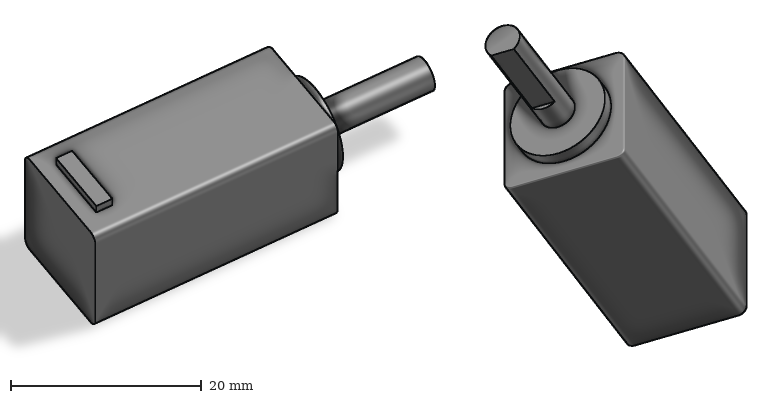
import cadquery as cq

total_length = 45.0

body_width = 14.0
body_length = 30.0
corner_radius = 1.0
front_edge_radius = 0.25

pilot_diameter = 11.0
pilot_thickness = 1.5

shaft_diameter = 4.0
shaft_length = total_length - body_length - pilot_thickness
flat_depth = 0.5
round_length = 3.5

tab_width = 8.0
tab_length = 2.0
tab_height = 1.0
tab_setback = 2.0

pilot_end = body_length + pilot_thickness


def make_body():
    """Square body from Y = 0, centred on the Y axis."""
    body = cq.Workplane("XY").box(body_width, body_length, body_width, centered=(True, False, True))
    return body.edges("|Y").fillet(corner_radius).faces(">Y").edges().fillet(front_edge_radius)


def cylinder_along_y(diameter, start, length):
    """Cylinder on the Y axis, running from start toward +Y."""
    return cq.Workplane("XZ", origin=(0, start, 0)).circle(diameter / 2).extrude(-length)


def make_shaft():
    """Shaft whose outer stretch is cut flat from below."""
    shaft = cylinder_along_y(shaft_diameter, pilot_end, shaft_length)
    flat_cut = (
        cq.Workplane("XY", origin=(0, pilot_end + round_length, -shaft_diameter / 2))
        .box(shaft_diameter, shaft_length - round_length, flat_depth, centered=(True, False, False))
    )
    return shaft.cut(flat_cut)


def make_tab():
    """Rectangular tab standing on the top face."""
    return (
        cq.Workplane("XY", origin=(0, tab_setback, body_width / 2))
        .box(tab_width, tab_length, tab_height, centered=(True, False, False))
    )


pilot = cylinder_along_y(pilot_diameter, body_length, pilot_thickness)
result = make_body().union(pilot).union(make_shaft()).union(make_tab())